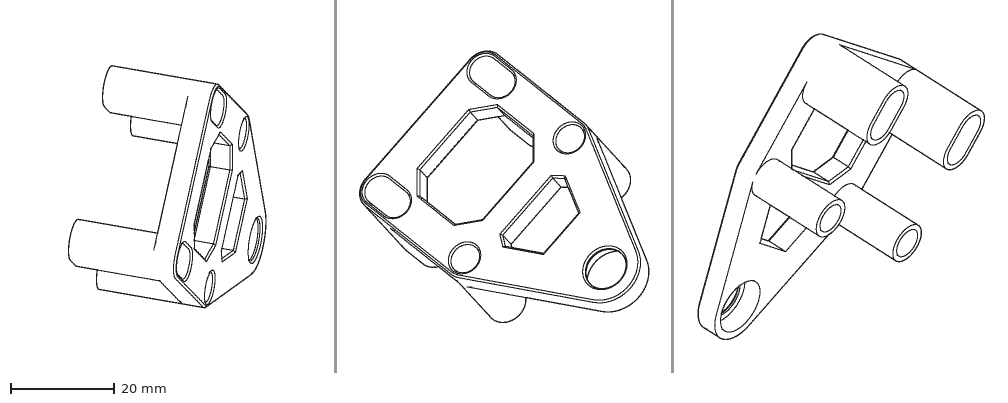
import cadquery as cq
import math

plate_thickness = 4.8
boss_length = 17.0
rim_chamfer = 0.4

bolt_spacing = 31.0
bore_diameter = 6.0
boss_diameter = 8.2
slot_distance = 23.0
slot_travel = 5.0

pivot_distance = 26.0
pivot_outer_radius = 7.3
pivot_hole_diameter = 8.5
pivot_seat_diameter = 11.3
pivot_lip_thickness = 0.8

cross_rib_width = 5.9
rail_width = 8.1
large_window_width = 22.9
large_window_corner = 4.0
large_window_chamfer = 0.45
small_window_end = -12.85
small_window_corner = 2.35

boss_radius = boss_diameter / 2
arm = bolt_spacing / 2
slot_end = slot_distance + slot_travel / 2
arm_sides = (-1, 1)

frame = cq.Plane(origin=(0, 0, 0), xDir=(0, -1, 1), normal=(1, 0, 0))


def at_height(height):
    """Sketch plane parallel to the plate; height 0 is its boss-side face."""
    return cq.Workplane(frame).workplane(offset=height)


def point_on(circle, angle):
    """Point at an angle on a circle given as (x, y, radius)."""
    x, y, radius = circle
    return (x + radius * math.cos(angle), y + radius * math.sin(angle))


def tangent_normal(first, second):
    """Outward angle of the outer tangent from one circle to the next, counterclockwise."""
    dx = second[0] - first[0]
    dy = second[1] - first[1]
    heading = math.atan2(dy, dx)
    lean = math.asin((first[2] - second[2]) / math.hypot(dx, dy))
    return heading - math.pi / 2 + lean


def make_plate():
    """Plate whose outline wraps tightly around the pivot, bolt and slot corners."""
    corners = [
        (-pivot_distance, 0, pivot_outer_radius),
        (0, -arm, boss_radius),
        (slot_end, -arm, boss_radius),
        (slot_end, arm, boss_radius),
        (0, arm, boss_radius),
    ]
    count = len(corners)
    normals = [tangent_normal(corners[i], corners[(i + 1) % count]) for i in range(count)]
    outline = at_height(0).moveTo(*point_on(corners[0], normals[-1]))
    for i, corner in enumerate(corners):
        start = normals[i - 1]
        sweep = (normals[i] - start) % (2 * math.pi)
        if i > 0:
            outline = outline.lineTo(*point_on(corner, start))
        outline = outline.threePointArc(
            point_on(corner, start + sweep / 2), point_on(corner, start + sweep)
        )
    return outline.close().extrude(plate_thickness)


def arm_bars(height, diameter, depth):
    """A round bar at each bolt place and a slot-shaped bar at each slot place."""
    bolts = [(0, side * arm) for side in arm_sides]
    slots = [(slot_distance, side * arm) for side in arm_sides]
    round_bars = at_height(height).pushPoints(bolts).circle(diameter / 2).extrude(depth)
    slot_bars = (
        at_height(height).pushPoints(slots).slot2D(slot_travel + diameter, diameter).extrude(depth)
    )
    return round_bars.union(slot_bars)


def make_pivot_hole():
    """Through hole with a wide seat opening on the boss side."""
    place = (-pivot_distance, 0)
    hole = at_height(0).center(*place).circle(pivot_hole_diameter / 2).extrude(plate_thickness)
    seat_depth = plate_thickness - pivot_lip_thickness
    seat = at_height(0).center(*place).circle(pivot_seat_diameter / 2).extrude(seat_depth)
    return hole.union(seat)


def make_large_window():
    """Rectangle with cut corners, flaring out at the boss side."""
    start = cross_rib_width / 2
    end = slot_end + boss_radius - rail_width
    opening = (
        at_height(0)
        .center((start + end) / 2, 0)
        .rect(end - start, large_window_width)
        .extrude(plate_thickness)
        .edges("|X")
        .chamfer(large_window_corner)
    )
    flare = (
        opening.faces("<X")
        .wires()
        .toPending()
        .offset2D(large_window_chamfer, "intersection")
        .extrude(large_window_chamfer, combine=False, taper=45)
    )
    return opening.union(flare)


def make_small_window():
    """Trapezoid with sides parallel to the plate's slanted edges and two cut corners."""
    pivot = (-pivot_distance, 0, pivot_outer_radius)
    bolt = (0, arm, boss_radius)
    normal = tangent_normal(bolt, pivot)
    side_offset = arm * math.sin(normal) + boss_radius - rail_width

    def half_width(x):
        return (side_offset - x * math.cos(normal)) / math.sin(normal)

    near = -cross_rib_width / 2
    far = small_window_end
    cut_x = near - small_window_corner * math.sin(normal)
    half_outline = [
        (near, half_width(near) - small_window_corner),
        (cut_x, half_width(cut_x)),
        (far, half_width(far)),
    ]
    mirrored_half = [(x, -y) for x, y in reversed(half_outline)]
    return at_height(0).polyline(half_outline + mirrored_half).close().extrude(plate_thickness)


plate = make_plate()
bosses = arm_bars(-boss_length, boss_diameter, boss_length)
bores = arm_bars(-boss_length, bore_diameter, boss_length + plate_thickness)

body = plate.union(bosses)
for opening in (bores, make_pivot_hole(), make_large_window(), make_small_window()):
    body = body.cut(opening)

result = body.faces(">X").edges().chamfer(rim_chamfer)